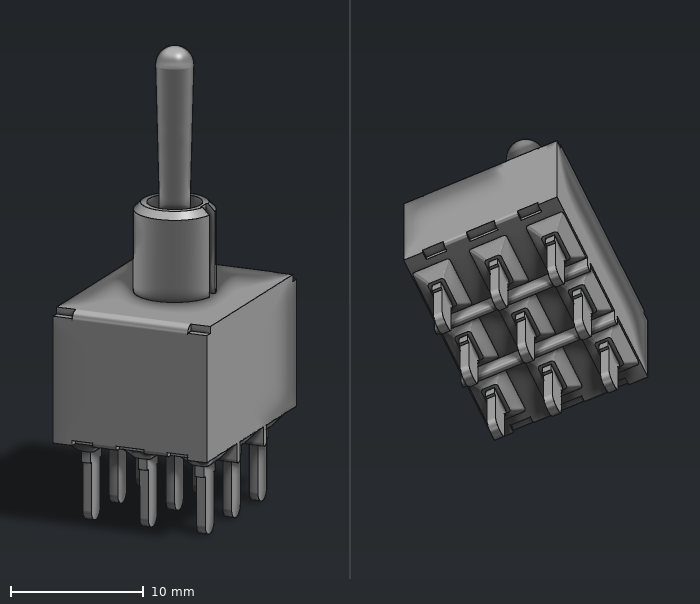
import cadquery as cq
import math

OVERALL_HEIGHT = 36.42

HOUSING_X = 12.7
HOUSING_Y = 16.5
HOUSING_BOTTOM = 6.65
HOUSING_TOP = 17.2

FRAME_WIDTH = 9.55
FRAME_BEND_RADIUS = 0.65
CORNER_NOTCH_HEIGHT = 0.55
CORNER_WIDTH = (HOUSING_X - FRAME_WIDTH) / 2

TAB_HEIGHT = 0.4
TAB_WIDTH = 1.93
TAB_OFFSET = 2.1
TAB_BEND_RADIUS = 0.33

BUSHING_DIAMETER = 6.25
BUSHING_TOP = 24.2
BUSHING_CHAMFER = 0.55
BORE_DIAMETER = 4.2
BORE_DEPTH = 2.5
KEYWAY_WIDTH = 1.02
KEYWAY_FLOOR_X = 2.35

LEVER_TIP_RADIUS = 1.45
LEVER_NECK_RADIUS = 1.15

TERMINAL_PITCH_X = 4.7
TERMINAL_PITCH_Y = 4.85
TERMINAL_THICKNESS = 0.73
TERMINAL_WIDTH = 1.65
SHOULDER_WIDTH = 2.08
SHOULDER_BOTTOM = 4.7
SEAL_HEIGHT = 1.02
SEAL_X = 3.1
SEAL_Y = 4.3
SEAL_INSET = 0.87
SEAL_CORNER_RADIUS = 0.33
RIB_THICKNESS = 0.55
RIB_BOTTOM = 5.1

GRID = (-1, 0, 1)
OPPOSITE_SIDES = (-1, 1)


def box(size_x, size_y, z_low, z_high, x=0.0, y=0.0):
    """Upright box centred on (x, y), from z_low to z_high."""
    return (
        cq.Workplane("XY", origin=(x, y, z_low))
        .rect(size_x, size_y)
        .extrude(z_high - z_low)
    )


def round_bottom_bar(length, width, z_low, x=0.0, y=0.0):
    """Bar reaching down from the housing, length along X, its lower edge fully rounded in Y."""
    radius = width / 2
    round_z = z_low + radius
    return (
        cq.Workplane("YZ", origin=(x - length / 2, y, 0))
        .moveTo(-radius, HOUSING_BOTTOM)
        .lineTo(-radius, round_z)
        .threePointArc((0, z_low), (radius, round_z))
        .lineTo(radius, HOUSING_BOTTOM)
        .close()
        .extrude(length)
    )


def make_housing():
    core = box(HOUSING_X, HOUSING_Y - 2 * FRAME_BEND_RADIUS, HOUSING_BOTTOM, HOUSING_TOP)
    frame = box(FRAME_WIDTH, HOUSING_Y, HOUSING_BOTTOM, HOUSING_TOP)
    frame = frame.faces(">Z").edges("|X").fillet(FRAME_BEND_RADIUS)
    frame = frame.faces("<Z").edges("|X").fillet(TAB_BEND_RADIUS)
    housing = core.union(frame)

    for side_x in OPPOSITE_SIDES:
        for side_y in OPPOSITE_SIDES:
            post = box(
                CORNER_WIDTH,
                FRAME_BEND_RADIUS,
                HOUSING_BOTTOM,
                HOUSING_TOP - CORNER_NOTCH_HEIGHT,
                side_x * (HOUSING_X - CORNER_WIDTH) / 2,
                side_y * (HOUSING_Y - FRAME_BEND_RADIUS) / 2,
            )
            housing = housing.union(post)

    outer_notch_width = FRAME_WIDTH / 2 - TAB_OFFSET - TAB_WIDTH / 2
    middle_notch_width = 2 * TAB_OFFSET - TAB_WIDTH
    outer_notch_x = (FRAME_WIDTH - outer_notch_width) / 2
    notches = (
        (outer_notch_width, -outer_notch_x),
        (middle_notch_width, 0),
        (outer_notch_width, outer_notch_x),
    )
    notch_top = HOUSING_BOTTOM + TAB_HEIGHT
    for side in OPPOSITE_SIDES:
        notch_y = side * (HOUSING_Y - FRAME_BEND_RADIUS) / 2
        for width, x in notches:
            notch = box(width, FRAME_BEND_RADIUS, HOUSING_BOTTOM, notch_top, x, notch_y)
            housing = housing.cut(notch)
    return housing


def make_bushing_and_lever():
    """Hollow bushing with its keyway, and the lever whose pivot ball closes the bore."""
    bushing_radius = BUSHING_DIAMETER / 2
    ball_radius = BORE_DIAMETER / 2
    ball_z = BUSHING_TOP - BORE_DEPTH
    tip_z = OVERALL_HEIGHT - LEVER_TIP_RADIUS
    tip_reach = LEVER_TIP_RADIUS * math.sqrt(0.5)
    bushing = (
        cq.Workplane("XY", origin=(0, 0, HOUSING_TOP))
        .circle(bushing_radius)
        .extrude(BUSHING_TOP - HOUSING_TOP)
        .faces(">Z")
        .chamfer(BUSHING_CHAMFER)
    )
    bore = cq.Workplane("XY", origin=(0, 0, ball_z)).circle(ball_radius).extrude(BORE_DEPTH)

    keyway_length = bushing_radius - KEYWAY_FLOOR_X
    keyway = box(
        keyway_length,
        KEYWAY_WIDTH,
        HOUSING_TOP,
        BUSHING_TOP,
        x=KEYWAY_FLOOR_X + keyway_length / 2,
    )

    neck_z = ball_z + math.sqrt(ball_radius**2 - LEVER_NECK_RADIUS**2)
    ball_angle = math.atan2(neck_z - ball_z, LEVER_NECK_RADIUS) / 2
    lever = (
        cq.Workplane("XZ")
        .moveTo(0, ball_z)
        .lineTo(ball_radius, ball_z)
        .threePointArc(
            (ball_radius * math.cos(ball_angle), ball_z + ball_radius * math.sin(ball_angle)),
            (LEVER_NECK_RADIUS, neck_z),
        )
        .lineTo(LEVER_TIP_RADIUS, tip_z)
        .threePointArc((tip_reach, tip_z + tip_reach), (0, OVERALL_HEIGHT))
        .close()
        .revolve(360, (0, 0, 0), (0, 1, 0))
    )
    return bushing.cut(bore).cut(keyway).union(lever)


def make_terminal(x, y):
    """Flat terminal with a round tip and shoulder, standing in a tapered resin seal."""
    seal_bottom = HOUSING_BOTTOM - SEAL_HEIGHT
    blade = round_bottom_bar(TERMINAL_THICKNESS, TERMINAL_WIDTH, 0, x, y)
    shoulder = box(TERMINAL_THICKNESS, SHOULDER_WIDTH, SHOULDER_BOTTOM, HOUSING_BOTTOM, x, y)
    seal = (
        cq.Workplane("XY", origin=(x, y, seal_bottom))
        .rect(SEAL_X - 2 * SEAL_INSET, SEAL_Y - 2 * SEAL_INSET)
        .workplane(offset=SEAL_HEIGHT)
        .rect(SEAL_X, SEAL_Y)
        .loft()
        .edges("not(#Z)")
        .fillet(SEAL_CORNER_RADIUS)
    )
    return blade.union(shoulder).union(seal)


result = make_housing().union(make_bushing_and_lever())
for column in GRID:
    for row in GRID:
        result = result.union(make_terminal(column * TERMINAL_PITCH_X, row * TERMINAL_PITCH_Y))
for side in OPPOSITE_SIDES:
    rib = round_bottom_bar(HOUSING_X, RIB_THICKNESS, RIB_BOTTOM, y=side * TERMINAL_PITCH_Y / 2)
    result = result.union(rib)